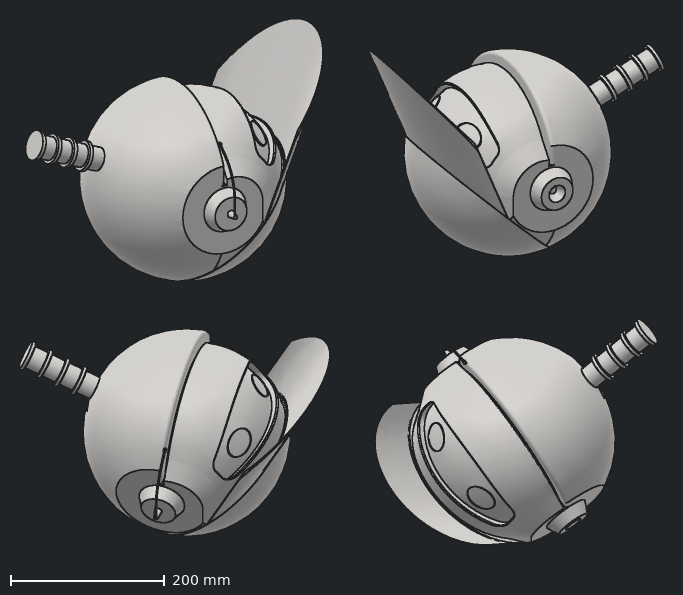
import cadquery as cq
import math

HEAD_R = 135.0
EAR_X = 120.0
BIG = 4 * HEAD_R

JAW_R = 136.0
JAW_TILT = 44.0
JAW_OFFSET = 64.5

FACE_R = 120.0
FACE_Y = 12.5
CONE_X = 101.5
CONE_R = math.sqrt(FACE_R**2 - CONE_X**2)
CONE_END_R = 43.0

RIM_ROUND = 5.0
GAP_WIDTH = 3.0
GAP_BOTTOM_Z = 33.5
GAP_CORE_R = 112.0

WINDOW_TILT = 45.0
WINDOW_TOP = 34.0
WINDOW_BOTTOM = -33.0
WINDOW_HALF_WIDTH = 93.0
WINDOW_SIDE_TOP = 6.5
WINDOW_SIDE_BOTTOM = -26.0
WINDOW_CORNER_R = 14.5
WINDOW_DEPTH = 10.0
WINDOW_CHAMFER = 2.0

EYE_X = 49.7
EYE_DROP = 5.5
EYE_HALF_WIDTH = 18.0
EYE_HALF_HEIGHT = 15.7
EYE_HEIGHT = 1.2

VISOR_R = 119.0
VISOR_THICKNESS = 2.0
VISOR_HALF_ANGLE = 79.0
VISOR_RISE = 68.0
VISOR_LENGTH = 248.5
VISOR_TRIM_R = 117.2
VISOR_TOP = 181.5

KNOB_END_X = 137.0
KNOB_BASE_R = 30.5
KNOB_END_R = 23.0
SOCKET_R = 12.0
SOCKET_FLOOR_R = 5.5
SOCKET_DEPTH = 12.5

PIN_END_X = 150.0
PIN_BASE_R = 6.0
PIN_END_R = 2.5
WIRE_R = 1.0
WIRE_INSET = 2.0
WIRE_BEND_Z = 22.8
WIRE_BEND_R = 66.3
WIRE_BEND_ANGLE = 55.0
WIRE_TAIL = 17.5
MICROPHONE_R = 1.5
MICROPHONE_LENGTH = 4.5

HOSE_RISE = 22.0
HOSE_R = 15.7
HOSE_END = 234.5
RING_R = 20.5
RING_WIDTH = 5.0
RING_PITCH = 25.0
RING_COUNT = 4

OVERLAP = 4.0
SPHERE_TOLERANCE = 0.5


def block(y_min, z_min, y_max=BIG, z_max=BIG):
    """Wide trimming block limited in Y and Z."""
    return cq.Workplane("XY").box(
        2 * BIG, y_max - y_min, z_max - z_min, centered=(True, False, False)
    ).translate((0, y_min, z_min))


def flattened_sphere(radius):
    """Sphere cut flat at both ears."""
    return cq.Workplane("XY").sphere(radius).intersect(cq.Workplane("XY").box(2 * EAR_X, BIG, BIG))


def face_sphere(radius):
    return cq.Workplane("XY").sphere(radius).translate((0, FACE_Y, 0))


def jaw_side():
    """Everything in front of and below the jaw plane."""
    half_space = cq.Workplane("XY").box(2 * BIG, 2 * BIG, BIG, centered=(True, True, False))
    return half_space.translate((0, 0, JAW_OFFSET)).rotate((0, 0, 0), (1, 0, 0), JAW_TILT - 180)


def cone_along_x(x_start, x_end, r_start, r_end):
    profile = [(x_start, 0), (x_start, r_start), (x_end, r_end), (x_end, 0)]
    return cq.Workplane("XY").polyline(profile).close().revolve(360, (0, 0, 0), (1, 0, 0))


def make_shell(head):
    """Rear half with its rounded rim, plus the jaw."""
    rear = head.intersect(block(-BIG, -BIG, y_max=0))
    rear = rear.faces(">Y").edges().fillet(RIM_ROUND)
    jaw = flattened_sphere(JAW_R).intersect(jaw_side())
    return rear.union(jaw)


def face_outline(back):
    """Closed horizontal outline of the face about its centre, reaching back by the given length."""
    return (
        cq.Workplane("XY")
        .moveTo(-EAR_X, -back)
        .lineTo(EAR_X, -back)
        .lineTo(EAR_X, CONE_END_R)
        .lineTo(CONE_X, CONE_R)
        .threePointArc((0, FACE_R), (-CONE_X, CONE_R))
        .lineTo(-EAR_X, CONE_END_R)
        .close()
    )


def make_face(head):
    """Dome above the ear line, with the same outline carried straight down below it."""
    dome = face_outline(0).revolve(360, (0, 0, 0), (1, 0, 0))
    lower = face_outline(2 * FACE_Y).extrude(-HEAD_R)
    face = dome.union(lower).translate((0, FACE_Y, 0))
    face = face.intersect(head).intersect(block(-RIM_ROUND, -BIG))
    gap = block(-2 * RIM_ROUND, GAP_BOTTOM_Z, y_max=GAP_WIDTH).cut(face_sphere(GAP_CORE_R))
    return face.cut(gap)


def window_plane():
    """Plane through the face centre, facing out through the eye window."""
    lean = math.radians(WINDOW_TILT)
    return cq.Plane(
        origin=(0, FACE_Y, 0),
        xDir=(-1, 0, 0),
        normal=(0, math.cos(lean), math.sin(lean)),
    )


def make_window():
    """Cutter for the eye window, ending on a sphere inside the face."""
    plane = window_plane()
    cutter = (
        cq.Workplane(plane)
        .moveTo(-WINDOW_HALF_WIDTH, WINDOW_SIDE_TOP)
        .threePointArc((0, WINDOW_TOP), (WINDOW_HALF_WIDTH, WINDOW_SIDE_TOP))
        .lineTo(WINDOW_HALF_WIDTH, WINDOW_SIDE_BOTTOM)
        .threePointArc((0, WINDOW_BOTTOM), (-WINDOW_HALF_WIDTH, WINDOW_SIDE_BOTTOM))
        .close()
        .extrude(BIG)
    )
    cutter = cutter.edges(cq.selectors.ParallelDirSelector(plane.zDir)).fillet(WINDOW_CORNER_R)
    return cutter.cut(face_sphere(FACE_R - WINDOW_DEPTH))


def is_window_rim(edge):
    """True for the edges where the window walls meet the face sphere."""
    middle = edge.positionAt(0.5)
    on_sphere = abs((middle - cq.Vector(0, FACE_Y, 0)).Length - FACE_R) < SPHERE_TOLERANCE
    return on_sphere and middle.y > FACE_Y and middle.z > 0 and abs(middle.x) < WINDOW_HALF_WIDTH


def cut_window(face):
    face = face.cut(make_window())
    rim = [edge for edge in face.edges().vals() if is_window_rim(edge)]
    return face.newObject(rim).chamfer(WINDOW_CHAMFER)


def make_eyes():
    floor_r = FACE_R - WINDOW_DEPTH
    posts = (
        cq.Workplane(window_plane())
        .pushPoints([(-EYE_X, -EYE_DROP), (EYE_X, -EYE_DROP)])
        .ellipse(EYE_HALF_WIDTH, EYE_HALF_HEIGHT)
        .extrude(FACE_R)
    )
    return posts.intersect(face_sphere(floor_r + EYE_HEIGHT)).cut(face_sphere(floor_r - OVERLAP))


def make_visor():
    """Arc on the jaw plane, extruded along a steeper slope and trimmed round at the top."""
    tilt = math.radians(JAW_TILT)
    plane = cq.Plane(
        origin=(0, JAW_OFFSET * math.sin(tilt), -JAW_OFFSET * math.cos(tilt)),
        xDir=(1, 0, 0),
        normal=(0, -math.sin(tilt), math.cos(tilt)),
    )
    half_angle = math.radians(VISOR_HALF_ANGLE)

    def on_arc(radius, angle):
        return (radius * math.sin(angle), radius * math.cos(angle))

    inner_r = VISOR_R - VISOR_THICKNESS
    sheet = (
        cq.Workplane(plane)
        .moveTo(*on_arc(VISOR_R, -half_angle))
        .threePointArc(on_arc(VISOR_R, 0), on_arc(VISOR_R, half_angle))
        .lineTo(*on_arc(inner_r, half_angle))
        .threePointArc(on_arc(inner_r, 0), on_arc(inner_r, -half_angle))
        .close()
    )
    rise = math.radians(VISOR_RISE)
    direction = cq.Vector(0, math.cos(rise), math.sin(rise)) * VISOR_LENGTH
    sheet = cq.Workplane(cq.Solid.extrudeLinear(sheet.val(), [], direction))
    trim_z = VISOR_TOP - VISOR_TRIM_R
    trim = (
        cq.Workplane("XZ")
        .moveTo(-VISOR_TRIM_R, -HEAD_R)
        .lineTo(-VISOR_TRIM_R, trim_z)
        .threePointArc((0, VISOR_TOP), (VISOR_TRIM_R, trim_z))
        .lineTo(VISOR_TRIM_R, -HEAD_R)
        .close()
        .extrude(BIG, both=True)
    )
    return sheet.intersect(trim)


def make_knobs():
    """Both ear knobs, and the cutter for the tapered socket in the -X one."""
    knob = cone_along_x(EAR_X, KNOB_END_X, KNOB_BASE_R, KNOB_END_R)
    inside = cone_along_x(EAR_X - OVERLAP, EAR_X, KNOB_BASE_R, KNOB_BASE_R)
    knob = knob.union(inside)
    socket = cone_along_x(-KNOB_END_X, SOCKET_DEPTH - KNOB_END_X, SOCKET_R, SOCKET_FLOOR_R)
    return knob, knob.mirror("YZ"), socket


def make_aerial():
    pin = cone_along_x(KNOB_END_X - OVERLAP, PIN_END_X, PIN_BASE_R, PIN_END_R)
    wire_x = PIN_END_X - WIRE_INSET
    bend_x = wire_x - WIRE_BEND_R

    def on_bend(degrees):
        angle = math.radians(degrees)
        return (bend_x + WIRE_BEND_R * math.cos(angle), WIRE_BEND_Z + WIRE_BEND_R * math.sin(angle))

    lean = math.radians(WIRE_BEND_ANGLE)
    bend_end = on_bend(WIRE_BEND_ANGLE)
    tip = (bend_end[0] - WIRE_TAIL * math.sin(lean), bend_end[1] + WIRE_TAIL * math.cos(lean))
    path = (
        cq.Workplane("XZ")
        .moveTo(wire_x, 0)
        .lineTo(wire_x, WIRE_BEND_Z)
        .threePointArc(on_bend(WIRE_BEND_ANGLE / 2), bend_end)
        .lineTo(*tip)
    )
    wire = cq.Workplane("XY").center(wire_x, 0).circle(WIRE_R).sweep(path)
    half_length = MICROPHONE_LENGTH / 2
    microphone = cone_along_x(tip[0] - half_length, tip[0] + half_length, MICROPHONE_R, MICROPHONE_R)
    return pin.union(wire).union(microphone.translate((0, 0, tip[1])))


def make_hose():
    rise = math.radians(HOSE_RISE)
    axis = cq.Plane(origin=(0, 0, 0), xDir=(1, 0, 0), normal=(0, -math.cos(rise), math.sin(rise)))

    def disc(radius, start, length):
        return cq.Workplane(axis).workplane(offset=start).circle(radius).extrude(length)

    hose_length = (RING_COUNT + 1) * RING_PITCH
    hose = disc(HOSE_R, HOSE_END - hose_length, hose_length)
    for i in range(RING_COUNT):
        hose = hose.union(disc(RING_R, HOSE_END - RING_WIDTH - i * RING_PITCH, RING_WIDTH))
    return hose


head = flattened_sphere(HEAD_R)
shell = make_shell(head)
face = cut_window(make_face(head))
right_knob, left_knob, socket = make_knobs()

result = shell.union(face).union(make_eyes())
result = result.union(right_knob).union(left_knob).cut(socket)
result = result.union(make_visor()).union(make_hose()).union(make_aerial())